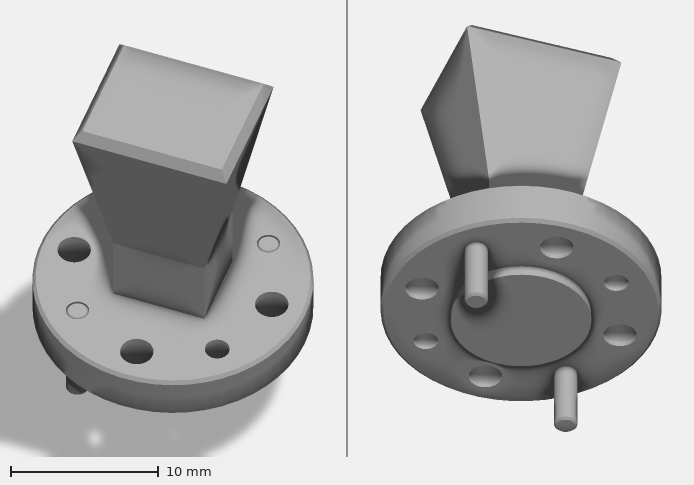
import cadquery as cq
import math

flange_thickness = 3.3
neck_height = 5.2
flare_height = 11.64
overall_height = 25.45
pin_projection = 4.63
rim_height = overall_height - pin_projection - flange_thickness - neck_height - flare_height

flange_diameter = 19.05
flange_chamfer = 0.23
boss_diameter = 9.52
boss_height = 0.76
hole_circle_radius = 7.13
bolt_hole_diameter = 2.27
alignment_hole_diameter = 1.68

neck_x = 6.6
neck_y = 5.55
mouth_x = 11.13
mouth_y = 9.3
rim_inset = 0.53

pin_diameter = 1.58
pin_chamfer = 0.15
pin_length = flange_thickness + pin_projection
bolt_angles = [0, 90, 180, 270]
pin_angles = [45, 225]
alignment_hole_angles = [135, 315]


def circle_points(angles):
    """Points on the hole circle at the given angles in degrees."""
    return [
        (hole_circle_radius * math.cos(math.radians(a)), hole_circle_radius * math.sin(math.radians(a)))
        for a in angles
    ]


def make_flange():
    """Round chamfered flange with its centring boss below and all its holes."""
    disc = cq.Workplane("XY").circle(flange_diameter / 2).extrude(flange_thickness)
    disc = disc.faces("<Z or >Z").chamfer(flange_chamfer)
    boss = cq.Workplane("XY").circle(boss_diameter / 2).extrude(-boss_height)
    flange = disc.union(boss)
    for angles, diameter in (
        (bolt_angles, bolt_hole_diameter),
        (alignment_hole_angles, alignment_hole_diameter),
        (pin_angles, pin_diameter),
    ):
        holes = cq.Workplane("XY").pushPoints(circle_points(angles)).circle(diameter / 2)
        flange = flange.cut(holes.extrude(flange_thickness))
    return flange


def make_frustum(base_z, height, base_x, base_y, top_x, top_y):
    """Rectangular block whose straight sides run from the base size to the top size."""
    return (
        cq.Workplane("XY")
        .workplane(offset=base_z)
        .rect(base_x, base_y)
        .workplane(offset=height)
        .rect(top_x, top_y)
        .loft(ruled=True)
    )


def make_horn():
    """Straight neck, widening flare and bevelled rim."""
    neck = cq.Workplane("XY").workplane(offset=flange_thickness).rect(neck_x, neck_y).extrude(neck_height)
    flare_z = flange_thickness + neck_height
    flare = make_frustum(flare_z, flare_height, neck_x, neck_y, mouth_x, mouth_y)
    rim_x = mouth_x - 2 * rim_inset
    rim_y = mouth_y - 2 * rim_inset
    rim = make_frustum(flare_z + flare_height, rim_height, mouth_x, mouth_y, rim_x, rim_y)
    return neck.union(flare).union(rim)


def make_pin(x, y):
    """Pin chamfered at both ends, with its upper end flush with the flange top."""
    pin = cq.Workplane("XY").circle(pin_diameter / 2).extrude(pin_length)
    pin = pin.faces("<Z or >Z").chamfer(pin_chamfer)
    return pin.translate((x, y, -pin_projection))


horn_flange = make_flange().union(make_horn())

pins = []
for x, y in circle_points(pin_angles):
    pins.append(make_pin(x, y).val())

result = cq.Compound.makeCompound([horn_flange.val(), *pins])